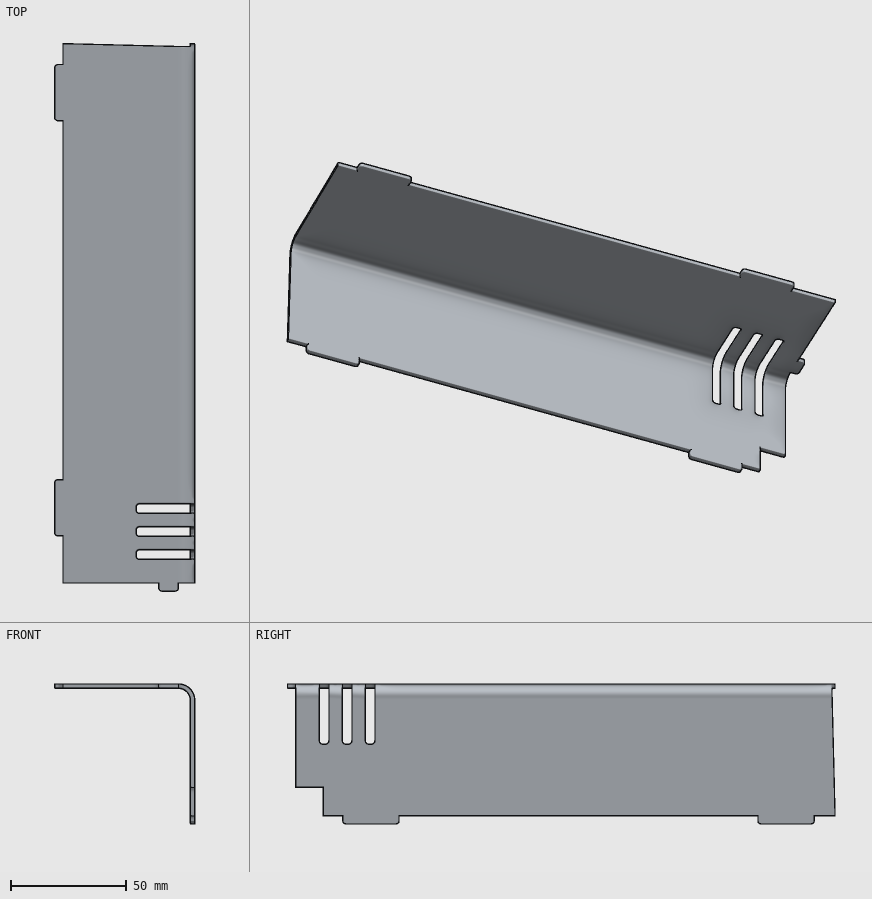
import cadquery as cq
import math

total_length = 237.5
flange_reach = 60.8

sheet = 2.0
bend_radius = 7.1
tab_depth = 3.5
corner_radius = 1.5
flange_width = flange_reach - tab_depth

rear_taper = 1.5

tab_length = 24.5
tab_starts = (24.0, 204.0)

front_tab_width = 8.5

notch_length = 11.9
notch_height = 12.4

rim_radius = 0.5
tolerance = 0.002

slot_width = 4.0
slot_pitch = 10.0
top_slot_reach = 25.5
side_slot_reach = 26.1
slot_end_radius = 1.5
slot_count = 3
first_slot = 16.0


def plate(x_range, y_range, z_range):
    """Box spanning the given ranges."""
    (x0, x1), (y0, y1), (z0, z1) = x_range, y_range, z_range
    box = cq.Workplane("XY").box(x1 - x0, y1 - y0, z1 - z0, centered=False)
    return box.translate((x0, y0, z0))


def bent_sheet():
    """L-shaped sheet with a rounded bend, lying behind the front tab."""
    inner_radius = bend_radius - sheet
    return (
        cq.Workplane("XZ", origin=(0, tab_depth, 0))
        .moveTo(-flange_width, 0)
        .lineTo(-bend_radius, 0)
        .radiusArc((0, -bend_radius), bend_radius)
        .lineTo(0, -flange_width)
        .lineTo(-sheet, -flange_width)
        .lineTo(-sheet, -bend_radius)
        .radiusArc((-bend_radius, -sheet), -inner_radius)
        .lineTo(-flange_width, -sheet)
        .close()
        .extrude(-(total_length - tab_depth))
    )


def rear_wedge():
    """Cutter with one sloping face through both free rear corners and the shortened bend."""
    diagonal = cq.Plane(origin=(0, 0, 0), xDir=(1, 0, 1), normal=(-1, 0, 1))
    corner_offset = flange_width / math.sqrt(2)
    return (
        cq.Workplane(diagonal)
        .moveTo(-corner_offset, total_length)
        .lineTo(0, total_length - rear_taper)
        .lineTo(0, total_length)
        .close()
        .extrude(flange_width, both=True)
    )


def edge_tabs(start):
    """One tab on the free edge of each flange."""
    overlap = (-flange_reach, sheet - flange_width)
    length = (start, start + tab_length)
    thickness = (-sheet, 0)
    top_tab = plate(overlap, length, thickness).edges("|Z and <X").fillet(corner_radius)
    side_tab = plate(thickness, length, overlap).edges("|X and <Z").fillet(corner_radius)
    return top_tab.union(side_tab)


def front_tab():
    """Tab beside the bend, with its inner rim already rounded."""
    width = (-bend_radius - front_tab_width, -bend_radius)
    tab = plate(width, (0, tab_depth + sheet), (-sheet, 0))
    tab = tab.edges("|Z and <Y").fillet(corner_radius)
    return tab.faces("<Z").edges("not >Y").fillet(rim_radius)


def slot(centre):
    """Cutter that opens both flanges and the bend between them."""
    width = (centre - slot_width / 2, centre + slot_width / 2)
    cutter = plate((-top_slot_reach, 0), width, (-side_slot_reach, 0))
    return cutter.edges("(|Z and <X) or (|X and <Z)").fillet(slot_end_radius)


def front_notch():
    """Cutter for the front lower corner of the side flange."""
    return plate(
        (-sheet, 0),
        (tab_depth, tab_depth + notch_length),
        (-flange_width, notch_height - flange_width),
    )


def depth(point):
    """Distance of a point in the sheet below the outer skin."""
    if point.x <= -bend_radius:
        return -point.z
    if point.z <= -bend_radius:
        return -point.x
    return bend_radius - math.hypot(point.x + bend_radius, point.z + bend_radius)


def lies_at_depth(edge, target):
    points = edge.positions([0, 0.5, 1])
    return all(abs(depth(point) - target) < tolerance for point in points)


def is_bend_line(edge):
    """True for the lines where the bend runs smoothly into a flange."""
    center = edge.Center()
    on_seam = min(abs(center.x + bend_radius), abs(center.z + bend_radius)) < tolerance
    runs_along_y = edge.BoundingBox().ylen > edge.Length() - tolerance
    return on_seam and runs_along_y


def is_rear(edge):
    return edge.Center().y > total_length - rear_taper - tolerance


def is_slot_rim(edge):
    center = edge.Center()
    last_slot = first_slot + (slot_count - 1) * slot_pitch
    among_slots = first_slot - slot_width < center.y < last_slot + slot_width
    in_reach = center.x > -top_slot_reach - tolerance and center.z > -side_slot_reach - tolerance
    return among_slots and in_reach


def needs_rounding(edge):
    """Inner rims are rounded except at the rear; outer rims only at the rear and the slots."""
    if is_bend_line(edge):
        return False
    if lies_at_depth(edge, sheet):
        return not is_rear(edge)
    return lies_at_depth(edge, 0) and (is_rear(edge) or is_slot_rim(edge))


result = bent_sheet().cut(rear_wedge())
for tab_start in tab_starts:
    result = result.union(edge_tabs(tab_start))
for index in range(slot_count):
    result = result.cut(slot(first_slot + index * slot_pitch))
result = result.cut(front_notch())

rims = [edge for edge in result.edges().vals() if needs_rounding(edge)]
result = result.newObject(rims).fillet(rim_radius).union(front_tab())